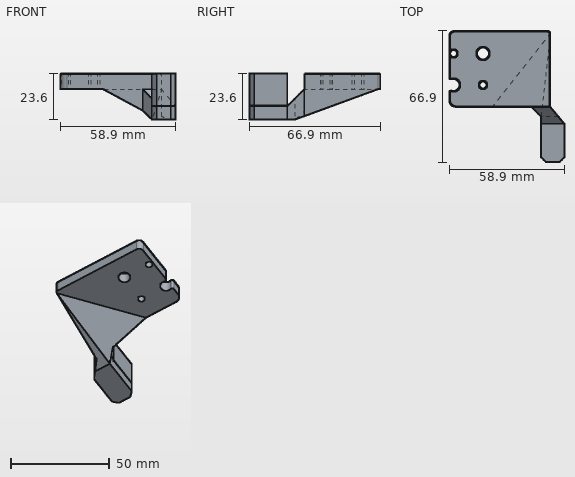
import cadquery as cq

PLATE_LENGTH = 51.65
PLATE_WIDTH = 38.8
PLATE_THICKNESS = 8.0
FRONT_LEFT_RADIUS = 3.5
BACK_LEFT_RADIUS = 2.5
BACK_RIGHT_RADIUS = 1.35
EDGE_CHAMFER = 0.5

LEFT_COLUMN_X = 2.3
RIGHT_COLUMN_X = 17.25
FRONT_ROW_Y = 11.25
BACK_ROW_Y = 27.3
LARGE_HOLE_DIAMETER = 6.0
SMALL_HOLE_DIAMETER = 3.5
NOTCH_DIAMETER = 6.0
NOTCH_LIP_RADIUS = 1.0

TOTAL_LENGTH_X = 58.9
TOTAL_LENGTH_Y = 66.9
TOTAL_HEIGHT = 23.6
ARM_WIDTH = 12.05
TIP_CHAMFER = 2.55
NECK_DROP = 8.6
NECK_LEFT_RUN = 4.8

ARM_RIGHT = TOTAL_LENGTH_X
ARM_LEFT = ARM_RIGHT - ARM_WIDTH
ARM_TIP_Y = PLATE_WIDTH - TOTAL_LENGTH_Y
NECK_LEFT = ARM_LEFT - NECK_LEFT_RUN
NECK_END_Y = -NECK_DROP
PLATE_BOTTOM = -PLATE_THICKNESS
FOOT_TOP = PLATE_BOTTOM - NECK_DROP
FOOT_BOTTOM = -TOTAL_HEIGHT

WEDGE_LEFT = 21.75
WEDGE_BACK_Y = 37.8

BLOCK_GAP = 0.3


def block_outline():
    """Plan of the block and of the foot below it: a rectangle with both front corners cut off."""
    return [
        (ARM_LEFT, NECK_END_Y),
        (ARM_LEFT, ARM_TIP_Y + TIP_CHAMFER),
        (ARM_LEFT + TIP_CHAMFER, ARM_TIP_Y),
        (ARM_RIGHT - TIP_CHAMFER, ARM_TIP_Y),
        (ARM_RIGHT, ARM_TIP_Y + TIP_CHAMFER),
        (ARM_RIGHT, NECK_END_Y),
    ]


def prism(outline, bottom, top):
    """Upright prism on a plan outline between two heights."""
    return cq.Workplane("XY").workplane(offset=bottom).polyline(outline).close().extrude(top - bottom)


def chamfered_hole(x, y, diameter):
    """Cutter for a through hole with a chamfered upper rim."""
    radius = diameter / 2
    hole = cq.Workplane("XY").center(x, y).circle(radius).extrude(-TOTAL_HEIGHT)
    rim = cq.Workplane("XY").add(
        cq.Solid.makeCone(radius, radius + EDGE_CHAMFER, EDGE_CHAMFER, cq.Vector(x, y, -EDGE_CHAMFER))
    )
    return hole.union(rim)


def make_plate():
    """Plate with rounded corners, edge notch, chamfered top and three holes."""
    plate = cq.Workplane("XY").box(PLATE_LENGTH, PLATE_WIDTH, PLATE_THICKNESS, centered=False)
    plate = plate.translate((0, 0, PLATE_BOTTOM))
    plate = plate.edges("|Z and <X and <Y").fillet(FRONT_LEFT_RADIUS)
    plate = plate.edges("|Z and <X and >Y").fillet(BACK_LEFT_RADIUS)
    plate = plate.edges("|Z and >X and >Y").fillet(BACK_RIGHT_RADIUS)

    notch = cq.Workplane("XY").center(LEFT_COLUMN_X, FRONT_ROW_Y).circle(NOTCH_DIAMETER / 2)
    plate = plate.cut(notch.extrude(-PLATE_THICKNESS))
    lips = cq.selectors.BoxSelector(
        (-LEFT_COLUMN_X, FRONT_ROW_Y - NOTCH_DIAMETER / 2, PLATE_BOTTOM),
        (LEFT_COLUMN_X / 2, FRONT_ROW_Y + NOTCH_DIAMETER / 2, 0),
    )
    plate = plate.edges("|Z").edges(lips).fillet(NOTCH_LIP_RADIUS)
    plate = plate.faces(">Z").edges().chamfer(EDGE_CHAMFER)

    plate = plate.cut(chamfered_hole(LEFT_COLUMN_X, BACK_ROW_Y, SMALL_HOLE_DIAMETER))
    plate = plate.cut(chamfered_hole(RIGHT_COLUMN_X, BACK_ROW_Y, LARGE_HOLE_DIAMETER))
    return plate.cut(chamfered_hole(RIGHT_COLUMN_X, FRONT_ROW_Y, SMALL_HOLE_DIAMETER))


def make_arm():
    """Wedge, neck and foot, cut from one prism by the slopes above and below."""
    outline = [
        (PLATE_LENGTH, WEDGE_BACK_Y),
        (WEDGE_LEFT, 0),
        (NECK_LEFT, 0),
        (ARM_LEFT, -NECK_LEFT_RUN),
        *block_outline()[1:],
        (PLATE_LENGTH, 0),
    ]
    arm = prism(outline, FOOT_BOTTOM, PLATE_BOTTOM)

    side = [
        (0, PLATE_BOTTOM),
        (NECK_END_Y, FOOT_TOP),
        (ARM_TIP_Y, FOOT_TOP),
        (ARM_TIP_Y, PLATE_BOTTOM),
    ]
    arm = arm.cut(cq.Workplane("YZ").polyline(side).close().extrude(TOTAL_LENGTH_X))

    left_corner = cq.Vector(WEDGE_LEFT, 0, PLATE_BOTTOM)
    back_corner = cq.Vector(PLATE_LENGTH, WEDGE_BACK_Y, PLATE_BOTTOM)
    foot_corner = cq.Vector(ARM_LEFT, -NECK_LEFT_RUN, FOOT_BOTTOM)
    along = back_corner - left_corner
    downward = along.cross(foot_corner - left_corner)
    left_slope = cq.Plane(origin=left_corner, xDir=along, normal=downward)
    reach = 2 * TOTAL_LENGTH_Y
    arm = arm.cut(cq.Workplane(left_slope).rect(reach, reach).extrude(TOTAL_HEIGHT))

    rear = [
        (-NECK_LEFT_RUN, FOOT_BOTTOM),
        (WEDGE_BACK_Y, FOOT_BOTTOM),
        (WEDGE_BACK_Y, PLATE_BOTTOM),
    ]
    return arm.cut(cq.Workplane("YZ").polyline(rear).close().extrude(TOTAL_LENGTH_X))


bracket = make_plate().union(make_arm())
block = prism(block_outline(), FOOT_TOP + BLOCK_GAP, 0)

result = cq.Compound.makeCompound([bracket.val(), block.val()])